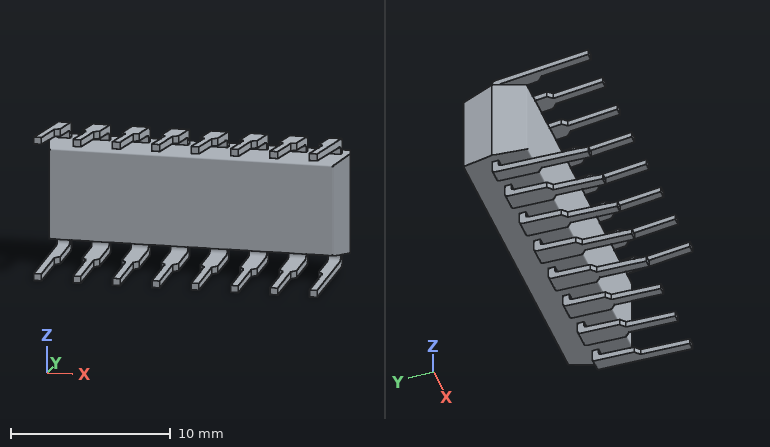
import cadquery as cq

BODY_LENGTH = 19.43
BODY_FACE_LENGTH = 18.32
BODY_DEPTH = 4.31
BODY_HEIGHT = 6.35
BODY_FACE_HEIGHT = 5.8
EDGE_FILLET = 0.1

LEADS_PER_ROW = 8
ROW_LENGTH = 17.78
LEAD_THICKNESS = 0.43
LEAD_TIP_Y = -6.22
LEAD_WIDE = 1.13
LEAD_NARROW = 0.5
SHOULDER_Y = -2.6
OUTER_TIP_SPAN = 9.23
OUTER_CORNER_SPAN = 8.25
INNER_TIP_SPAN = 8.34
INNER_CORNER_SPAN = 7.36
OUTER_BEND_RADIUS = 0.23
INNER_BEND_RADIUS = 0.25
LEAD_EMBED = 0.58

HALF_DEPTH = BODY_DEPTH / 2
HALF_LEAD = LEAD_THICKNESS / 2
LAST_LEAD_X = ROW_LENGTH / 2
LEAD_PITCH = ROW_LENGTH / (LEADS_PER_ROW - 1)
HALF_STRIP = LAST_LEAD_X + LEAD_NARROW / 2


def make_body():
    """Intersect the pointed plan outline with the flat-banded end outline."""
    plan = (
        cq.Workplane("XY")
        .polyline([
            (BODY_LENGTH / 2, 0),
            (BODY_FACE_LENGTH / 2, HALF_DEPTH),
            (-BODY_FACE_LENGTH / 2, HALF_DEPTH),
            (-BODY_LENGTH / 2, 0),
            (-BODY_FACE_LENGTH / 2, -HALF_DEPTH),
            (BODY_FACE_LENGTH / 2, -HALF_DEPTH),
        ])
        .close()
        .extrude(BODY_HEIGHT / 2, both=True)
    )
    end = (
        cq.Workplane("YZ")
        .polyline([
            (HALF_DEPTH, BODY_FACE_HEIGHT / 2),
            (HALF_LEAD, BODY_HEIGHT / 2),
            (-HALF_LEAD, BODY_HEIGHT / 2),
            (-HALF_DEPTH, BODY_FACE_HEIGHT / 2),
            (-HALF_DEPTH, -BODY_FACE_HEIGHT / 2),
            (-HALF_LEAD, -BODY_HEIGHT / 2),
            (HALF_LEAD, -BODY_HEIGHT / 2),
            (HALF_DEPTH, -BODY_FACE_HEIGHT / 2),
        ])
        .close()
        .extrude(BODY_LENGTH / 2, both=True)
    )
    return plan.intersect(end).faces("<Y or >Y").edges().fillet(EDGE_FILLET)


def make_bent_strip():
    """Side profile of the upper row, extruded along the row."""
    root_z = BODY_HEIGHT / 2 - LEAD_EMBED
    strip = (
        cq.Workplane("YZ")
        .polyline([
            (HALF_LEAD, root_z),
            (HALF_LEAD, OUTER_CORNER_SPAN / 2),
            (LEAD_TIP_Y, OUTER_TIP_SPAN / 2),
            (LEAD_TIP_Y, INNER_TIP_SPAN / 2),
            (-HALF_LEAD, INNER_CORNER_SPAN / 2),
            (-HALF_LEAD, root_z),
        ])
        .close()
        .extrude(HALF_STRIP, both=True)
    )
    outer_corner = cq.selectors.NearestToPointSelector((0, HALF_LEAD, OUTER_CORNER_SPAN / 2))
    inner_corner = cq.selectors.NearestToPointSelector((0, -HALF_LEAD, INNER_CORNER_SPAN / 2))
    strip = strip.edges(outer_corner).fillet(OUTER_BEND_RADIUS)
    return strip.edges(inner_corner).fillet(INNER_BEND_RADIUS)


def make_lead(strip, x):
    """One upper lead: wide shank, 45 degree shoulders and a narrow tip."""
    wide = LEAD_WIDE / 2
    narrow = LEAD_NARROW / 2
    shoulder_end_y = SHOULDER_Y - (wide - narrow)
    outline = (
        cq.Workplane("XY")
        .polyline([
            (x - wide, HALF_LEAD),
            (x - wide, SHOULDER_Y),
            (x - narrow, shoulder_end_y),
            (x - narrow, LEAD_TIP_Y),
            (x + narrow, LEAD_TIP_Y),
            (x + narrow, shoulder_end_y),
            (x + wide, SHOULDER_Y),
            (x + wide, HALF_LEAD),
        ])
        .close()
        .extrude(OUTER_TIP_SPAN / 2)
    )
    return strip.intersect(outline)


result = make_body()
bent_strip = make_bent_strip()
for index in range(LEADS_PER_ROW):
    lead_x = index * LEAD_PITCH - LAST_LEAD_X
    lead = make_lead(bent_strip, lead_x)
    result = result.union(lead).union(lead.mirror("XY"))